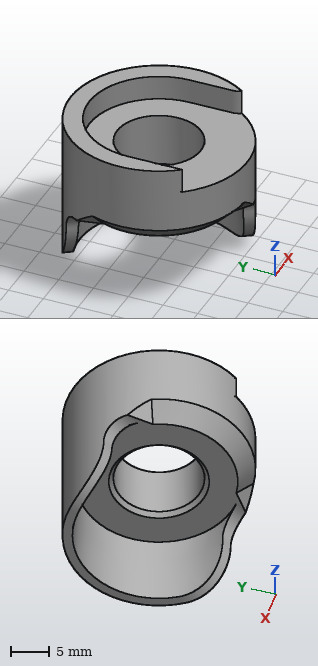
import cadquery as cq
import math

outer_radius = 12.7
height = 22.0
bore_radius = 6.0
bore_chamfer = 0.6

recess_radius = 10.0
recess_depth = 3.5
recess_floor = height - recess_depth
flare_start_y = -6.12
flare_radius = 2.03
flare_angle = 45.0

jaw_direction = 33.4
jaw_top_inner_radius = 10.92
jaw_bottom_inner_radius = 11.38
body_bottom = 10.3
lower_arc_radius = 6.9
upper_arc_radius = body_bottom - lower_arc_radius
jaw_side_offset = -1.45
lower_arc_centre = jaw_side_offset + lower_arc_radius
upper_arc_centre = jaw_side_offset - upper_arc_radius
reach = 2 * outer_radius

relief_size = 2.34
relief_half_angle = 127.0
jaw_root_half_angle = math.degrees(math.acos(upper_arc_centre / outer_radius))


def polar_point(radius, angle, z):
    """Point at an angle measured from the jaw direction, before the jaw is turned."""
    turn = math.radians(angle)
    return cq.Vector(radius * math.cos(turn), radius * math.sin(turn), z)


def make_jaw_clearance():
    """Space beside the jaw, bounded by two opposing quarter arcs."""
    diagonal = math.sqrt(0.5)
    return (
        cq.Workplane("XZ")
        .moveTo(-reach, body_bottom)
        .lineTo(upper_arc_centre, body_bottom)
        .threePointArc(
            (upper_arc_centre + upper_arc_radius * diagonal, lower_arc_radius + upper_arc_radius * diagonal),
            (jaw_side_offset, lower_arc_radius),
        )
        .threePointArc(
            (lower_arc_centre - lower_arc_radius * diagonal, lower_arc_radius * (1 - diagonal)),
            (lower_arc_centre, 0),
        )
        .lineTo(-reach, 0)
        .close()
        .extrude(reach, both=True)
    )


def make_jaw_cavity():
    """Slightly conical space inside the jaw, wider at its open lower end."""
    return (
        cq.Workplane("XZ")
        .lineTo(jaw_bottom_inner_radius, 0)
        .lineTo(jaw_top_inner_radius, body_bottom)
        .lineTo(0, body_bottom)
        .close()
        .revolve(360, (0, 0), (0, 1))
    )


def make_conical_relief():
    """Triangular ring section revolved around the side opposite the jaw."""
    sweep = 360 - 2 * relief_half_angle
    return (
        cq.Workplane("XZ")
        .moveTo(outer_radius - relief_size, body_bottom)
        .lineTo(outer_radius, body_bottom)
        .lineTo(outer_radius, body_bottom + relief_size)
        .close()
        .revolve(sweep, (0, 0), (0, 1))
        .rotate((0, 0, 0), (0, 0, 1), relief_half_angle)
    )


def make_relief_end(side):
    """Tetrahedral run-out joining the conical relief to the root of the jaw."""
    overshoot = 1.4
    end_angle = side * relief_half_angle
    inner = polar_point(outer_radius - relief_size, end_angle, body_bottom)
    targets = [
        polar_point(outer_radius, end_angle, body_bottom),
        polar_point(outer_radius, end_angle, body_bottom + relief_size),
        polar_point(outer_radius, side * jaw_root_half_angle, body_bottom),
    ]
    below, above, root = [inner + (target - inner) * overshoot for target in targets]
    triangles = [(inner, below, above), (inner, above, root), (inner, root, below), (below, root, above)]
    faces = [cq.Face.makeFromWires(cq.Wire.makePolygon(corners, close=True)) for corners in triangles]
    return cq.Workplane(obj=cq.Solid.makeSolid(cq.Shell.makeShell(faces)))


def make_top_recess():
    """Round-ended recess open toward -Y, flared outward at its +X mouth."""
    turn = math.radians(flare_angle)
    flare_centre_x = recess_radius + flare_radius
    flare_end = (flare_centre_x - flare_radius * math.cos(turn), flare_start_y - flare_radius * math.sin(turn))
    flare_middle = (
        flare_centre_x - flare_radius * math.cos(turn / 2),
        flare_start_y - flare_radius * math.sin(turn / 2),
    )
    return (
        cq.Workplane("XY", origin=(0, 0, recess_floor))
        .moveTo(-recess_radius, -outer_radius)
        .lineTo(-recess_radius, 0)
        .threePointArc((0, recess_radius), (recess_radius, 0))
        .lineTo(recess_radius, flare_start_y)
        .threePointArc(flare_middle, flare_end)
        .lineTo(flare_end[0], -outer_radius)
        .close()
        .extrude(recess_depth)
    )


def make_bore():
    """Through bore with a chamfer at its lower end."""
    return (
        cq.Workplane("XZ")
        .moveTo(0, body_bottom)
        .lineTo(bore_radius + bore_chamfer, body_bottom)
        .lineTo(bore_radius, body_bottom + bore_chamfer)
        .lineTo(bore_radius, height)
        .lineTo(0, height)
        .close()
        .revolve(360, (0, 0), (0, 1))
    )


body = cq.Workplane("XY").circle(outer_radius).extrude(height)
body = body.cut(make_jaw_cavity())
body = body.cut(make_jaw_clearance())
body = body.cut(make_conical_relief())
for side in (-1, 1):
    body = body.cut(make_relief_end(side))
body = body.rotate((0, 0, 0), (0, 0, 1), jaw_direction)
body = body.cut(make_top_recess())
result = body.cut(make_bore())